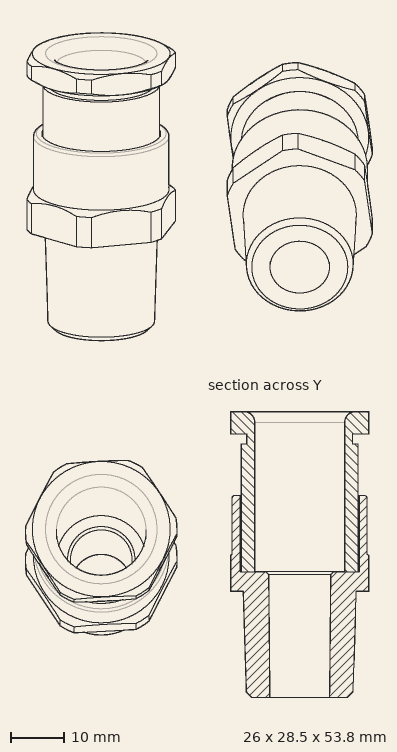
import cadquery as cq
import math

hex_across_flats = 26.0
hex_corner_radius = 14.25
hex_across_corners = hex_across_flats / math.cos(math.radians(30))

thread_top = 19.95
thread_top_radius = 10.65
thread_taper = 1 / 16
thread_chamfer = 1.0
thread_end_radius = thread_top_radius - (thread_top - thread_chamfer) * thread_taper / 2
body_hex_top = 26.95
body_hex_chamfer_height = 1.0
barrel_top = 38.0
barrel_radius = 12.75
barrel_edge_fillet = 0.55

recess_floor = 23.65
recess_radius = 11.2
passage_top_radius = 5.8
passage_end_radius = 5.6
passage_chamfer = 0.55

nut_top = 53.75
nut_hex_bottom = 49.5
nut_hex_chamfer_height = 0.75
nut_face_radius = 12.95
neck_bottom = 47.7
neck_diameter = 19.95
neck_radius = neck_diameter / 2
sleeve_diameter = 22.0
sleeve_radius = sleeve_diameter / 2
nut_bore_radius = 8.45
nut_mouth_fillet = 2.05


def revolved(points):
    """Solid of revolution about Z from an outline of (radius, height) points."""
    return cq.Workplane("XZ").polyline(points).close().revolve(360, (0, 0, 0), (0, 1, 0))


def hex_prism(bottom, top):
    """Hexagonal prism with its corners pointing along Y."""
    prism = cq.Workplane("XY").workplane(offset=bottom).polygon(6, hex_across_corners).extrude(top - bottom)
    return prism.rotate((0, 0, 0), (0, 0, 1), 30)


def make_body():
    """Fitting body: tapered spigot, hexagon and round barrel."""
    spigot = revolved([
        (0, 0),
        (thread_end_radius - thread_chamfer, 0),
        (thread_end_radius, thread_chamfer),
        (thread_top_radius, thread_top),
        (0, thread_top),
    ])

    hex_envelope = revolved([
        (0, thread_top),
        (hex_corner_radius, thread_top),
        (hex_corner_radius, body_hex_top - body_hex_chamfer_height),
        (barrel_radius, body_hex_top),
        (0, body_hex_top),
    ])
    hexagon = hex_prism(thread_top, body_hex_top).intersect(hex_envelope)

    barrel_height = barrel_top - body_hex_top
    barrel = cq.Workplane("XY").workplane(offset=body_hex_top).circle(barrel_radius).extrude(barrel_height)
    barrel = barrel.faces(">Z").edges().fillet(barrel_edge_fillet)

    inside = revolved([
        (0, 0),
        (passage_end_radius, 0),
        (passage_top_radius, recess_floor - passage_chamfer),
        (passage_top_radius + passage_chamfer, recess_floor),
        (recess_radius, recess_floor),
        (recess_radius, barrel_top),
        (0, barrel_top),
    ])
    return spigot.union(hexagon).union(barrel).cut(inside)


def make_nut():
    """Gland nut: hexagon, undercut neck and sleeve standing on the floor of the body's recess."""
    shank = revolved([
        (0, recess_floor),
        (sleeve_radius, recess_floor),
        (sleeve_radius, neck_bottom),
        (neck_radius, neck_bottom),
        (neck_radius, nut_hex_bottom),
        (0, nut_hex_bottom),
    ])

    hex_envelope = revolved([
        (0, nut_hex_bottom),
        (nut_face_radius, nut_hex_bottom),
        (hex_corner_radius, nut_hex_bottom + nut_hex_chamfer_height),
        (hex_corner_radius, nut_top - nut_hex_chamfer_height),
        (nut_face_radius, nut_top),
        (0, nut_top),
    ])
    hexagon = hex_prism(nut_hex_bottom, nut_top).intersect(hex_envelope)

    bore_height = nut_top - recess_floor
    bore = cq.Workplane("XY").workplane(offset=recess_floor).circle(nut_bore_radius).extrude(bore_height)
    nut = shank.union(hexagon).cut(bore)
    return nut.edges(cq.selectors.RadiusNthSelector(0)).edges(">Z").fillet(nut_mouth_fillet)


body = make_body()
nut = make_nut()
result = cq.Compound.makeCompound([body.val(), nut.val()])